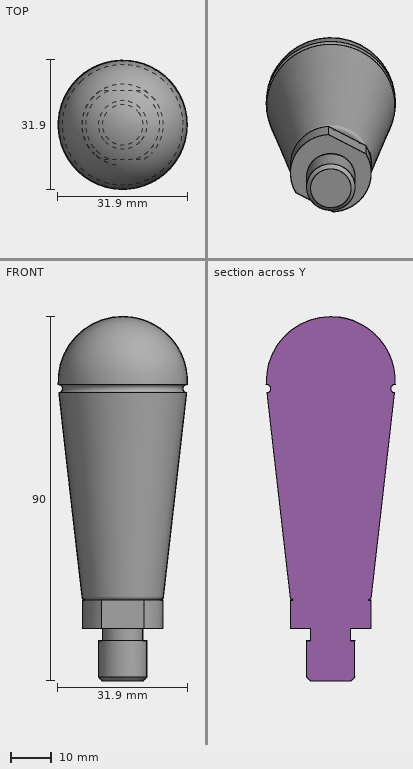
import cadquery as cq
import math

total_height = 90.0
stud_diameter = 12.0
neck_diameter = 10.0
stud_chamfer = (stud_diameter - neck_diameter) / 2
stud_top = 10.0

collar_bottom = 13.0
collar_diameter = 20.0
across_flats = 17.0

grip_bottom = 20.0
grip_bottom_diameter = 20.2
grip_edge_radius = 1.0
dome_diameter = 31.95
groove_radius = 1.0
groove_center_height = 72.2
grip_top_diameter = 31.6


def make_stud():
    """Chamfered stud with a relief neck below the collar."""
    stud = cq.Workplane("XY").circle(stud_diameter / 2).extrude(stud_top)
    stud = stud.faces("<Z").chamfer(stud_chamfer)
    neck_length = collar_bottom - stud_top
    neck = cq.Workplane("XY").workplane(offset=stud_top).circle(neck_diameter / 2).extrude(neck_length)
    return stud.union(neck)


def make_collar():
    """Round collar trimmed by flats facing -Y and +Y."""
    height = grip_bottom - collar_bottom
    base = cq.Workplane("XY").workplane(offset=collar_bottom)
    disc = base.circle(collar_diameter / 2).extrude(height)
    flats = base.rect(collar_diameter, across_flats).extrude(height)
    return disc.intersect(flats)


def make_grip():
    """Revolved grip: rounded lower edge, taper, half-round groove and dome."""
    bottom_radius = grip_bottom_diameter / 2
    top_radius = grip_top_diameter / 2
    dome_radius = dome_diameter / 2
    dome_center = total_height - dome_radius
    groove_bottom = groove_center_height - groove_radius
    groove_top = groove_center_height + groove_radius
    dome_edge_radius = math.sqrt(dome_radius**2 - (dome_center - groove_top) ** 2)
    dome_mid = dome_radius * math.sqrt(0.5)
    corner_mid = grip_edge_radius * (1 - math.sqrt(0.5))
    groove_floor = (top_radius + dome_edge_radius) / 2 - groove_radius
    return (
        cq.Workplane("XZ")
        .moveTo(0, grip_bottom)
        .lineTo(bottom_radius - grip_edge_radius, grip_bottom)
        .threePointArc(
            (bottom_radius - corner_mid, grip_bottom + corner_mid),
            (bottom_radius, grip_bottom + grip_edge_radius),
        )
        .lineTo(top_radius, groove_bottom)
        .threePointArc((groove_floor, groove_center_height), (dome_edge_radius, groove_top))
        .threePointArc((dome_mid, dome_center + dome_mid), (0, total_height))
        .close()
        .revolve(360, (0, 0, 0), (0, 1, 0))
    )


result = make_stud().union(make_collar()).union(make_grip())